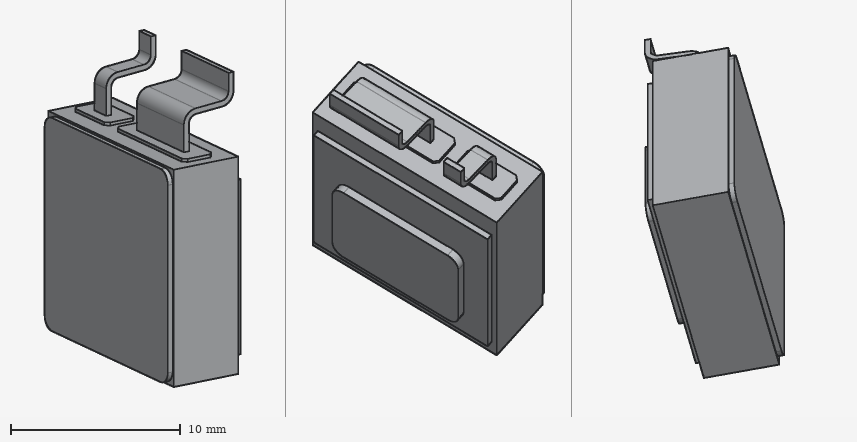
import cadquery as cq
import math

body_size = 13.47
body_depth = 4.56
back_face = body_depth / 2

cover_margin = 0.13
cover_thickness = 0.35
corner_radius = 0.8

plate_width = 12.71
plate_height = 10.85
plate_thickness = 0.4
plate_base = 1.05
pad_width = 9.2
pad_height = 6.5
pad_thickness = 0.54
pad_base = 2.27

collar_height = 0.2
collar_depth = 2.1
collar_margin = 1.17
collar_chamfer = 0.25

lead_span = 9.6
narrow_lead_width = 1.26
wide_lead_width = 5.05
lead_thickness = 0.36
lead_y = -0.1
lead_slope = math.radians(4)
bend_inner_radius = 0.52
lead_tip_length = 1.14
total_height = 18.03


def upright_plate(width, height, thickness, front_y, base_z):
    """Plate lying in XZ, growing toward +Y from front_y."""
    return cq.Workplane("XY").box(width, thickness, height, centered=(True, False, False)).translate(
        (0, front_y, base_z)
    )


def make_lead(center_x, width):
    """Strip rising from the body, bent back over a slight slope, then up again."""
    bend_radius = bend_inner_radius + lead_thickness / 2
    tip_y = back_face + plate_thickness + pad_thickness - lead_thickness / 2
    bend_run = bend_radius * (1 - math.sin(lead_slope))
    bend_rise = bend_radius * math.cos(lead_slope)
    slope_start_y = lead_y + bend_run
    slope_end_y = tip_y - bend_run
    slope_rise = (slope_end_y - slope_start_y) * math.tan(lead_slope)
    upper_bend_top = total_height - lead_tip_length
    slope_end_z = upper_bend_top - bend_rise
    slope_start_z = slope_end_z - slope_rise
    path = (
        cq.Workplane("YZ", origin=(center_x, 0, 0))
        .moveTo(lead_y, body_size)
        .lineTo(lead_y, slope_start_z - bend_rise)
        .tangentArcPoint((slope_start_y, slope_start_z), relative=False)
        .lineTo(slope_end_y, slope_end_z)
        .tangentArcPoint((tip_y, upper_bend_top), relative=False)
        .lineTo(tip_y, total_height)
    )
    section = cq.Workplane("XY", origin=(center_x, lead_y, body_size)).rect(width, lead_thickness)
    return section.sweep(path)


def make_collar(center_x, lead_width):
    """Low block with chamfered corners around the foot of a lead."""
    return (
        cq.Workplane("XY", origin=(center_x, 0, body_size))
        .rect(lead_width + 2 * collar_margin, collar_depth)
        .extrude(collar_height)
        .edges("|Z")
        .chamfer(collar_chamfer)
    )


body = upright_plate(body_size, body_size, body_depth, -back_face, 0)

cover_size = body_size - 2 * cover_margin
cover = upright_plate(cover_size, cover_size, cover_thickness, -back_face - cover_thickness, cover_margin)
cover = cover.edges("|Y").fillet(corner_radius)

plate = upright_plate(plate_width, plate_height, plate_thickness, back_face, plate_base)

pad = upright_plate(pad_width, pad_height, pad_thickness, back_face + plate_thickness, pad_base)
pad = pad.edges("|Y").fillet(corner_radius)

result = body.union(cover).union(plate).union(pad)

narrow_lead_x = -(lead_span - narrow_lead_width) / 2
wide_lead_x = (lead_span - wide_lead_width) / 2
for lead_x, lead_width in ((narrow_lead_x, narrow_lead_width), (wide_lead_x, wide_lead_width)):
    result = result.union(make_collar(lead_x, lead_width))
    result = result.union(make_lead(lead_x, lead_width))